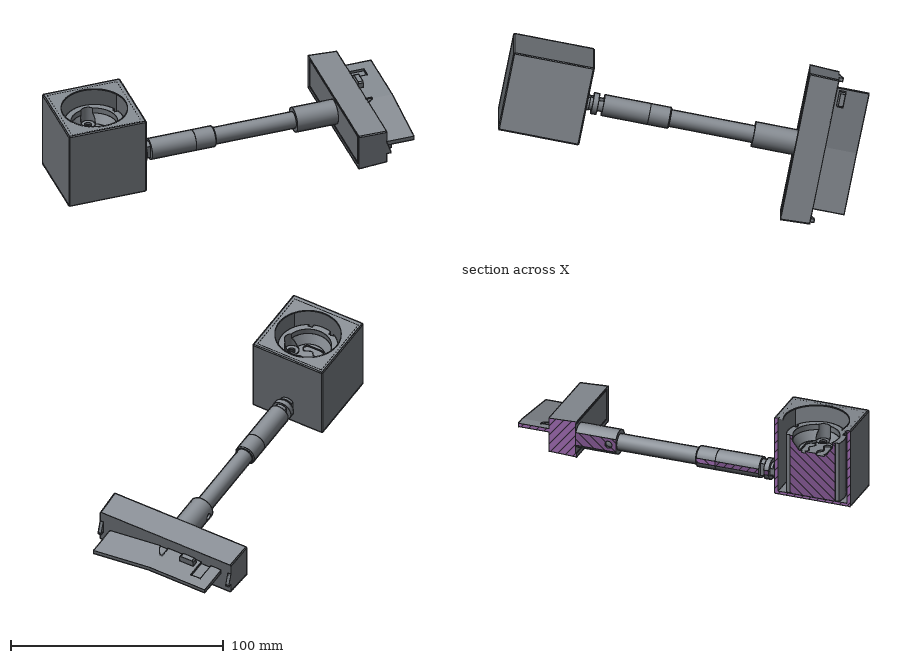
import cadquery as cq

OVERLAP = 0.3

adapter_width = 72.0
adapter_depth = 14.0
adapter_top = 9.0
adapter_bottom = -9.5
adapter_draft = 0.5
adapter_edge_chamfer = 0.5
panel_width = 67.9
panel_top = 7.9
panel_bottom = -7.5
panel_recess = 0.3

blade_width = 60.5
blade_length = 15.5
blade_top = 3.0
blade_thickness = 2.0
blade_drop = 4.0
slot_width = 5.2
slot_length = 9.9
slot_center_x = -22.0
slot_depth = 1.2
wedge_left = -1.3
wedge_tip_right = -0.3
wedge_right = 2.9
wedge_length = 5.5
wedge_bow = 0.5
wedge_depth = 0.7
lug_width = 7.4
lug_x = -14.0
hanging_lug_x = 25.5
lug_reach = 4.5
lug_root = 1.5
lug_flat = 2.4
lug_height = 6.2
lug_chamfer = 0.7
tab_thickness = 1.7
tab_reach = 2.0
tab_top = 2.9
tab_bottom = -4.0
tab_corner_height = 1.0

collar_diameter = 12.0
collar_length = 20.0
screw_hole_diameter = 3.4
screw_hole_inset = 3.9
rod_diameter = 8.0
rod_exposed = 40.0
joint_diameter = 10.0
sleeve_length = 10.0
sleeve_chamfer = 0.5
tube_length = 22.0

tongue_length = 2.5
tongue_width = 5.0
tongue_diameter = 8.0
disc_length = 2.5
neck_length = 1.5
neck_diameter = 6.9
neck_width = 6.0
foot_length = 1.3
foot_diameter = 8.0

box_width = 38.0
box_length = 38.6
box_height = 40.0
box_bottom = -10.0
box_wall = 1.7
box_top_wall = 0.5
box_chamfer = 0.5
opening_diameter = 31.2

socket_diameter = 28.2
socket_drop = 7.9
funnel_diameter = 22.2
funnel_floor_diameter = 16.5
funnel_wall = 2.9
funnel_depth = 7.0
contact_offset = 8.9
counterbore_diameter = 6.9
counterbore_depth = 7.5
contact_diameter = 3.4
contact_depth = 1.0
pin_hole_diameter = 2.5
pin_hole_depth = 1.0
pin_tip_diameter = 1.0
pin_tip_depth = 0.8
notch_floor = 11.6
notch_inner_x = 4.5
notch_outer_x = 6.7
kidney_depth = 0.8
small_lobe = (-3.0, 4.5, 2.0)
large_lobe = (3.2, 4.0, 2.5)
kidney_edge = 3.5

adapter_back = adapter_depth
collar_end = -collar_length
rod_end = collar_end - rod_exposed
sleeve_end = rod_end - sleeve_length
tube_end = sleeve_end - tube_length
disc_start = tube_end - tongue_length
disc_end = disc_start - disc_length
neck_end = disc_end - neck_length
box_back = neck_end - foot_length
box_center_y = box_back - box_length / 2
box_top = box_bottom + box_height
box_floor = box_bottom + box_wall
socket_rim = box_top - socket_drop


def rod_along_y(diameter, start, end):
    """Cylinder on the arm axis from Y = start toward -Y, ending at Y = end."""
    return cq.Workplane("XZ", origin=(0, start, 0)).circle(diameter / 2).extrude(start - end)


def block(x_range, y_range, z_range):
    """Box given by its lower and upper limits on each axis."""
    size = [upper - lower for lower, upper in (x_range, y_range, z_range)]
    corner = (x_range[0], y_range[0], z_range[0])
    return cq.Workplane("XY", origin=corner).box(*size, centered=False)


def make_adapter_shell():
    """Drafted box with a shallow recessed panel on its front."""
    height = adapter_top - adapter_bottom
    middle = (adapter_top + adapter_bottom) / 2
    shell = (
        cq.Workplane("XZ", origin=(0, 0, middle))
        .rect(adapter_width, height)
        .workplane(offset=-adapter_depth)
        .rect(adapter_width - 2 * adapter_draft, height - 2 * adapter_draft)
        .loft(combine=True)
    )
    long_edges = shell.edges("not(<Y or >Y)")
    shell = long_edges.chamfer(adapter_edge_chamfer)
    half_panel = panel_width / 2
    panel = block((-half_panel, half_panel), (0, panel_recess), (panel_bottom, panel_top))
    return shell.cut(panel)


def make_blade():
    """Plate whose -X half is level and whose +X half slopes down."""
    half = blade_width / 2
    blade = (
        cq.Workplane("XZ", origin=(0, adapter_back + blade_length, 0))
        .polyline([
            (-half, blade_top),
            (0, blade_top),
            (half, blade_top - blade_drop),
            (half, blade_top - blade_drop - blade_thickness),
            (0, blade_top - blade_thickness),
            (-half, blade_top - blade_thickness),
        ])
        .close()
        .extrude(blade_length + OVERLAP)
    )
    slot = block(
        (slot_center_x - slot_width / 2, slot_center_x + slot_width / 2),
        (adapter_back, adapter_back + slot_length),
        (blade_top - slot_depth, blade_top),
    )
    return blade.cut(slot).cut(make_wedge_recess())


def make_wedge_recess():
    """Recess beside the adapter back that narrows along a curved flank."""
    tip = adapter_back + wedge_length
    flank_middle = (
        (wedge_tip_right + wedge_right) / 2 + wedge_bow,
        adapter_back + wedge_length / 2,
    )
    return (
        cq.Workplane("XY", origin=(0, 0, blade_top - wedge_depth))
        .moveTo(wedge_left, adapter_back)
        .lineTo(wedge_left, tip)
        .lineTo(wedge_tip_right, tip)
        .threePointArc(flank_middle, (wedge_right, adapter_back))
        .close()
        .extrude(wedge_depth)
    )


def make_lug():
    """Contact lug that stands up from the -X half of the blade."""
    far = adapter_back + lug_reach
    flat_end = far - lug_flat
    foot = blade_top - blade_thickness
    return (
        cq.Workplane("YZ", origin=(lug_x - lug_width / 2, 0, 0))
        .polyline([
            (far, lug_height),
            (flat_end, lug_height),
            (adapter_back + lug_root, blade_top),
            (adapter_back + lug_root, foot),
            (far, foot),
        ])
        .close()
        .extrude(lug_width)
        .edges("(>X or <X) and >Z")
        .chamfer(lug_chamfer)
    )


def make_hanging_lug():
    """Copy of the lug turned half around Y, below the +X half of the blade."""
    turned = make_lug().rotate((0, 0, 0), (0, 1, 0), 180)
    return turned.translate((hanging_lug_x + lug_x, 0, 0))


def make_tab(side):
    """Sloped locating tab on the adapter back; side is -1 or +1 along X."""
    outer = adapter_width / 2 - adapter_draft
    start = outer - tab_thickness if side > 0 else -outer
    return (
        cq.Workplane("YZ", origin=(start, 0, 0))
        .polyline([
            (adapter_back - OVERLAP, tab_top),
            (adapter_back, tab_top),
            (adapter_back + tab_reach, tab_bottom + tab_corner_height),
            (adapter_back + tab_reach, tab_bottom),
            (adapter_back - OVERLAP, tab_bottom),
        ])
        .close()
        .extrude(tab_thickness)
    )


def make_adapter():
    adapter = make_adapter_shell().union(make_blade())
    adapter = adapter.union(make_lug()).union(make_hanging_lug())
    for side in (-1, 1):
        adapter = adapter.union(make_tab(side))
    return adapter


def make_collar():
    """Bored collar with a set screw hole in its -X wall."""
    collar = rod_along_y(collar_diameter, panel_recess, collar_end)
    bore = rod_along_y(rod_diameter, panel_recess, collar_end)
    screw_hole = (
        cq.Workplane("YZ", origin=(0, collar_end + screw_hole_inset, 0))
        .circle(screw_hole_diameter / 2)
        .extrude(-collar_diameter)
    )
    return collar.cut(bore).cut(screw_hole)


def make_rod():
    return rod_along_y(rod_diameter, panel_recess, rod_end)


def make_sleeve():
    return rod_along_y(joint_diameter, rod_end, sleeve_end).faces(">Y").chamfer(sleeve_chamfer)


def make_tube():
    return rod_along_y(joint_diameter, sleeve_end, tube_end)


def make_flattened_pin(diameter, width, start, end):
    """Round pin with two flats facing -X and +X."""
    flats = block((-width / 2, width / 2), (end, start), (-diameter / 2, diameter / 2))
    return rod_along_y(diameter, start, end).intersect(flats)


def make_swivel():
    """Flattened tongue, round disc, flattened neck and its wider foot in one piece."""
    tongue = make_flattened_pin(tongue_diameter, tongue_width, tube_end, disc_start)
    disc = rod_along_y(joint_diameter, disc_start, disc_end)
    neck = make_flattened_pin(neck_diameter, neck_width, disc_end, neck_end)
    foot = make_flattened_pin(foot_diameter, neck_width, neck_end, box_back)
    return tongue.union(disc).union(neck).union(foot)


def make_box():
    """Hollow lamp housing with a round opening in its top."""
    outer = (
        cq.Workplane("XY", origin=(0, box_center_y, box_bottom))
        .box(box_width, box_length, box_height, centered=(True, True, False))
        .edges()
        .chamfer(box_chamfer)
    )
    cavity_width = box_width - 2 * box_wall
    cavity_height = box_height - box_wall - box_top_wall
    cavity = (
        cq.Workplane("XY", origin=(0, box_center_y, box_floor))
        .box(cavity_width, cavity_width, cavity_height, centered=(True, True, False))
    )
    opening = (
        cq.Workplane("XY", origin=(0, box_center_y, box_top))
        .circle(opening_diameter / 2)
        .extrude(-box_wall)
    )
    return outer.cut(cavity).cut(opening)


def make_funnel():
    """Round well that narrows to a flat floor."""
    rim_radius = funnel_diameter / 2
    return (
        cq.Workplane("XZ")
        .polyline([
            (0, socket_rim),
            (rim_radius, socket_rim),
            (rim_radius, socket_rim - funnel_wall),
            (funnel_floor_diameter / 2, socket_rim - funnel_depth),
            (0, socket_rim - funnel_depth),
        ])
        .close()
        .revolve(360, (0, 0, 0), (0, 1, 0))
    )


def make_contact_hole(side):
    """Stepped contact hole with a tapered tip; side is -1 or +1 along X."""
    seat = socket_rim - counterbore_depth
    contact_floor = seat - contact_depth
    pin_floor = contact_floor - pin_hole_depth
    return (
        cq.Workplane("XZ")
        .polyline([
            (0, socket_rim),
            (counterbore_diameter / 2, socket_rim),
            (counterbore_diameter / 2, seat),
            (contact_diameter / 2, seat),
            (contact_diameter / 2, contact_floor),
            (pin_hole_diameter / 2, contact_floor),
            (pin_hole_diameter / 2, pin_floor),
            (pin_tip_diameter / 2, pin_floor - pin_tip_depth),
            (0, pin_floor - pin_tip_depth),
        ])
        .close()
        .revolve(360, (0, 0, 0), (0, 1, 0))
        .translate((side * contact_offset, 0, 0))
    )


def make_kidney():
    """Two-lobed recess in the +Y half of the funnel floor."""
    floor = socket_rim - funnel_depth
    bottom = floor - kidney_depth
    left_x, left_y, left_radius = small_lobe
    right_x, right_y, right_radius = large_lobe
    kidney = block((left_x, right_x), (kidney_edge, left_y + left_radius), (bottom, floor))
    for x, y, radius in (small_lobe, large_lobe):
        lobe = cq.Workplane("XY", origin=(x, y, bottom)).circle(radius).extrude(kidney_depth)
        kidney = kidney.union(lobe)
    return kidney


def make_socket():
    """Lamp socket that stands on the floor of the box."""
    socket = (
        cq.Workplane("XY", origin=(0, 0, box_floor))
        .circle(socket_diameter / 2)
        .extrude(socket_rim - box_floor)
        .cut(make_funnel())
    )
    for side in (-1, 1):
        socket = socket.cut(make_contact_hole(side))
    notch = block(
        (notch_inner_x, notch_outer_x),
        (notch_floor, socket_diameter / 2),
        (box_floor, socket_rim),
    )
    for angle in (0, 180):
        socket = socket.cut(make_kidney().rotate((0, 0, 0), (0, 0, 1), angle))
        turned = notch.rotate((0, 0, 0), (0, 0, 1), angle)
        socket = socket.cut(turned).cut(turned.mirror("YZ"))
    return socket.translate((0, box_center_y, 0))


adapter = make_adapter()
collar = make_collar()
rod = make_rod()
sleeve = make_sleeve()
tube = make_tube()
swivel = make_swivel()
box = make_box()
socket = make_socket()

result = cq.Compound.makeCompound([
    adapter.solids().val(),
    collar.solids().val(),
    rod.solids().val(),
    sleeve.solids().val(),
    tube.solids().val(),
    swivel.solids().val(),
    box.solids().val(),
    socket.solids().val(),
])